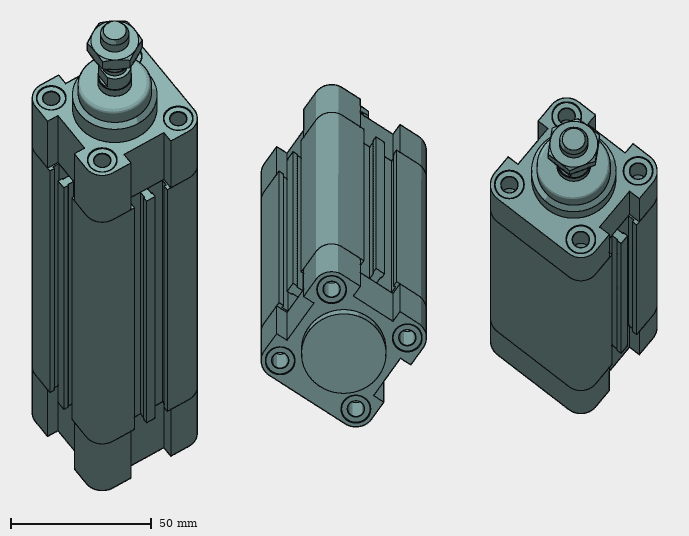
import cadquery as cq
import math

TOTAL_LENGTH = 246.0
BODY_SIZE = 46.0
HALF_SIZE = BODY_SIZE / 2
SCREW_OFFSET = 16.2
CORNER_RADIUS = HALF_SIZE - SCREW_OFFSET

REAR_SPIGOT_LENGTH = 4.5
CAP_LENGTH = 28.8
BARREL_LENGTH = 136.3
BARREL_BOTTOM = REAR_SPIGOT_LENGTH + CAP_LENGTH
FRONT_CAP_BOTTOM = BARREL_BOTTOM + BARREL_LENGTH
FRONT_CAP_TOP = FRONT_CAP_BOTTOM + CAP_LENGTH

NOTCH_WIDTH = 17.0
NOTCH_DEPTH = 4.5

SCREW_HOLE_MOUTH_DIAMETER = 6.2
SCREW_HOLE_DIAMETER = 6.0
HOLE_MOUTH_TAPER = 0.1
SCREW_HOLE_DEPTH = 6.0
DRILL_TIP_DEPTH = 0.7
COUNTERBORE_MOUTH_DIAMETER = 10.5
COUNTERBORE_DIAMETER = 10.0
COUNTERBORE_DEPTH = 0.1

COLLAR_DIAMETER = 30.0
COLLAR_LENGTH = 8.0
BOSS_DIAMETER = 26.0
BOSS_TOP = 214.0
SHOULDER_HEIGHT = 1.5
BOSS_FILLET = 1.7

SLOT_OPENING = 14.0
SLOT_CAVITY_WIDTH = 15.7
SLOT_DEPTH = 4.5
LIP_THICKNESS = 2.0
RIB_HEAD_WIDTH = 3.7
RIB_NECK_WIDTH = 3.0

ROD_DIAMETER = 12.0
FLAT_SECTION_DIAMETER = 11.5
FLAT_SECTION_BOTTOM = 217.7
FLAT_BOTTOM = 219.0
FLAT_SECTION_TOP = 224.4
ACROSS_FLATS = 10.0
GROOVE_DIAMETER = 8.9
THREAD_DIAMETER = 10.0
THREAD_BOTTOM = 226.5
ROD_END_CHAMFER = 1.0
ROD_END_CHAMFER_HEIGHT = 2.0

NUT_ACROSS_FLATS = 17.0
NUT_THICKNESS = 6.0
NUT_BOTTOM = 234.0
NUT_CHAMFER_ANGLE = 30

GROOVED_SIDE_ANGLES = (0, 90, -90)


def disc(diameter, bottom, top):
    return cq.Workplane("XY").workplane(offset=bottom).circle(diameter / 2).extrude(top - bottom)


def square_block(bottom, length):
    block = cq.Workplane("XY").workplane(offset=bottom).rect(BODY_SIZE, BODY_SIZE).extrude(length)
    return block.edges("|Z").fillet(CORNER_RADIUS)


def side_bar(width, inner_depth, outer_depth, bottom, length):
    """Bar along the -Y side, between two depths measured inward from that face."""
    bar = cq.Workplane("XY").box(width, inner_depth - outer_depth, length, centered=(True, False, False))
    return bar.translate((0, -HALF_SIZE + outer_depth, bottom))


def cut_grooved_sides(body, cutter):
    for angle in GROOVED_SIDE_ANGLES:
        body = body.cut(cutter.rotate((0, 0, 0), (0, 0, 1), angle))
    return body


def make_cap_block(bottom):
    notch = side_bar(NOTCH_WIDTH, NOTCH_DEPTH, 0, bottom, CAP_LENGTH)
    return cut_grooved_sides(square_block(bottom, CAP_LENGTH), notch)


def make_screw_hole(mouth, inward):
    """Shallow tapered counterbore over a blind hole; inward is -1 to drill down or 1 to drill up."""
    radius = SCREW_HOLE_DIAMETER / 2
    shelf = mouth + inward * COUNTERBORE_DEPTH
    taper_end = shelf + inward * HOLE_MOUTH_TAPER
    hole_end = mouth + inward * SCREW_HOLE_DEPTH
    profile = [
        (0, mouth),
        (COUNTERBORE_MOUTH_DIAMETER / 2, mouth),
        (COUNTERBORE_DIAMETER / 2, shelf),
        (SCREW_HOLE_MOUTH_DIAMETER / 2, shelf),
        (radius, taper_end),
        (radius, hole_end),
        (0, hole_end + inward * DRILL_TIP_DEPTH),
    ]
    return cq.Workplane("XZ").polyline(profile).close().revolve(360, (0, 0), (0, 1))


def cut_screw_holes(cap, mouth, inward):
    hole = make_screw_hole(mouth, inward)
    for x in (-SCREW_OFFSET, SCREW_OFFSET):
        for y in (-SCREW_OFFSET, SCREW_OFFSET):
            cap = cap.cut(hole.translate((x, y, 0)))
    return cap


def make_front_cap():
    collar_top = FRONT_CAP_TOP + COLLAR_LENGTH
    boss = disc(BOSS_DIAMETER, FRONT_CAP_TOP, BOSS_TOP).faces(">Z").edges().fillet(BOSS_FILLET)
    shoulder = cq.Workplane("XY").workplane(offset=collar_top).circle(COLLAR_DIAMETER / 2)
    shoulder = shoulder.workplane(offset=SHOULDER_HEIGHT).circle(BOSS_DIAMETER / 2).loft()
    cap = make_cap_block(FRONT_CAP_BOTTOM)
    cap = cap.union(disc(COLLAR_DIAMETER, FRONT_CAP_TOP, collar_top)).union(shoulder).union(boss)
    cap = cut_screw_holes(cap, FRONT_CAP_TOP, -2.5)
    return cap.cut(disc(ROD_DIAMETER, FRONT_CAP_BOTTOM, BOSS_TOP))


def make_rear_cap():
    cap = make_cap_block(REAR_SPIGOT_LENGTH).union(disc(COLLAR_DIAMETER, 0, REAR_SPIGOT_LENGTH))
    return cut_screw_holes(cap, REAR_SPIGOT_LENGTH, 2.5)


def make_barrel():
    opening = side_bar(SLOT_OPENING, LIP_THICKNESS, 0, BARREL_BOTTOM, BARREL_LENGTH)
    cavity = side_bar(SLOT_CAVITY_WIDTH, SLOT_DEPTH, LIP_THICKNESS, BARREL_BOTTOM, BARREL_LENGTH)
    rib_head = side_bar(RIB_HEAD_WIDTH, LIP_THICKNESS, 0, BARREL_BOTTOM, BARREL_LENGTH)
    rib_neck = side_bar(RIB_NECK_WIDTH, SLOT_DEPTH, LIP_THICKNESS, BARREL_BOTTOM, BARREL_LENGTH)
    slot = opening.union(cavity).cut(rib_head).cut(rib_neck)
    return cut_grooved_sides(square_block(BARREL_BOTTOM, BARREL_LENGTH), slot)


def cut_wrench_flats(rod):
    """Two opposite flats facing -Y and +Y, each running out at 45 degrees at its lower end."""
    depth = ROD_DIAMETER - ACROSS_FLATS
    inner = ACROSS_FLATS / 2
    for side in (-1, 1):
        outline = [
            (side * inner, FLAT_BOTTOM),
            (side * inner, FLAT_SECTION_TOP),
            (side * (inner + depth), FLAT_SECTION_TOP),
            (side * (inner + depth), FLAT_BOTTOM - depth),
        ]
        cutter = cq.Workplane("YZ").polyline(outline).close().extrude(ROD_DIAMETER / 2, both=True)
        rod = rod.cut(cutter)
    return rod


def make_rod():
    thread_radius = THREAD_DIAMETER / 2
    groove_radius = GROOVE_DIAMETER / 2
    profile = [
        (0, FRONT_CAP_BOTTOM),
        (ROD_DIAMETER / 2, FRONT_CAP_BOTTOM),
        (ROD_DIAMETER / 2, FLAT_SECTION_BOTTOM),
        (FLAT_SECTION_DIAMETER / 2, FLAT_SECTION_BOTTOM),
        (FLAT_SECTION_DIAMETER / 2, FLAT_SECTION_TOP),
        (groove_radius, FLAT_SECTION_TOP),
        (groove_radius, THREAD_BOTTOM),
        (thread_radius, THREAD_BOTTOM + thread_radius - groove_radius),
        (thread_radius, TOTAL_LENGTH - ROD_END_CHAMFER_HEIGHT),
        (thread_radius - ROD_END_CHAMFER, TOTAL_LENGTH),
        (0, TOTAL_LENGTH),
    ]
    rod = cq.Workplane("XZ").polyline(profile).close().revolve(360, (0, 0), (0, 1))
    return cut_wrench_flats(rod)


def make_nut():
    corner_radius = NUT_ACROSS_FLATS / math.sqrt(3)
    chamfer = corner_radius - NUT_ACROSS_FLATS / 2
    chamfer_height = chamfer * math.tan(math.radians(NUT_CHAMFER_ANGLE))
    hexagon = cq.Workplane("XY").polygon(6, 2 * corner_radius).extrude(NUT_THICKNESS)
    turned_blank = cq.Workplane("XY").circle(corner_radius).extrude(NUT_THICKNESS)
    turned_blank = turned_blank.faces("<Z or >Z").edges().chamfer(chamfer_height, chamfer)
    nut = hexagon.intersect(turned_blank).translate((0, 0, NUT_BOTTOM))
    return nut.cut(disc(THREAD_DIAMETER, NUT_BOTTOM, NUT_BOTTOM + NUT_THICKNESS))


front_cap = make_front_cap()
barrel = make_barrel()
rear_cap = make_rear_cap()
rod = make_rod()
nut = make_nut()

result = cq.Compound.makeCompound(
    [front_cap.val(), barrel.val(), rear_cap.val(), rod.val(), nut.val()]
)